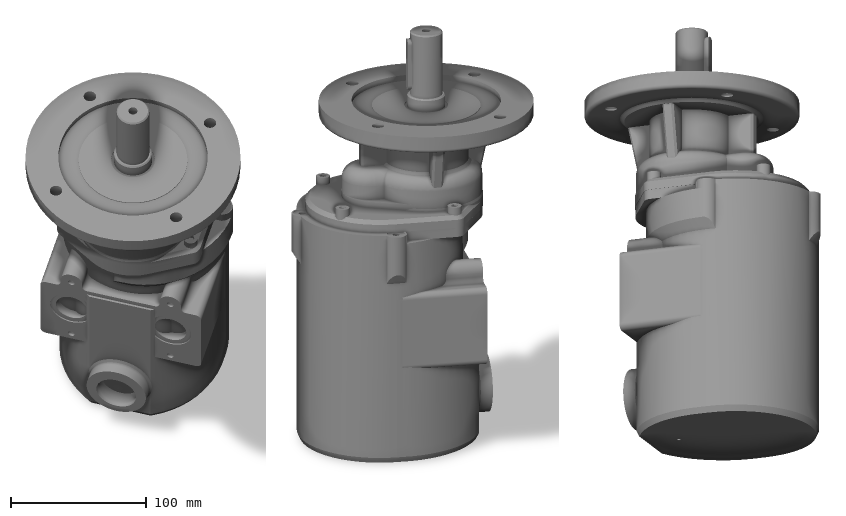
import cadquery as cq
import math


total_height = 315.0

shaft_radius = 12.0
collar_radius = 14.02
collar_top = 266.0
shaft_chamfer = 1.0
center_hole_diameter = 6.5
center_hole_depth = 12.5
key_width = 8.0
key_bottom = 270.0
key_top = 309.5
key_reach = 14.5

flange_radius = 79.0
flange_bottom = 248.0
flange_top = 260.5
flange_fillet = 2.5
bolt_circle_radius = 65.0
flange_hole_diameter = 9.0
recess_radius = 54.97
recess_depth = 4.5
recess_disc_radius = 40.0
recess_disc_height = 0.5
seal_groove_radius = 16.0

hub_radius = 41.3
hub_top = 213.5
hub_round = 9.8
neck_radius = 31.2
rib_width = 8.8
rib_reach = 49.8
rib_foot = 204.0
rib_foot_reach = 40.3
rib_chamfer = 1.5
rib_pad_height = 2.2
rib_pad_flare = 3.0
lobe_y = 42.5
lobe_radius = 20.5
web_y = 36.0
web_radius = 27.0
web_height = 4.7
foot_ring_height = 2.0
neck_flare = 2.5
neck_foot_sink = 0.5

cover_top = 188.5
cover_chamfer = 2.8
joint_z = 179.2
plate_bottom = 172.0
cover_margin = 0.5
cover_front_radius = hub_radius + cover_margin
plate_inset = 0.3
cover_back_radius = 54.8
corner_radius = 7.5
corner_y = -11.3
screw_radius = 5.0
screw_height = 5.7
screw_socket_width = 5.7
screw_socket_depth = 2.8
back_screw_x = 34.5
back_screw_y = 70.2

motor_y = 35.0
body_radius = 61.0
front_arc_y = 31.0
front_arc_radius = 69.3
lower_body_top = 128.5
base_z = 0.5
foot_height = 4.5
foot_taper = 25.0
pip_radius = 1.3
pip_x = 5.0
pip_y = -8.2
band_radius = 66.0
band_bottom = 149.5
band_cone_height = 8.2
lug_radius = 8.0
lug_hole_diameter = 5.0
lug_hole_depth = 9.5
lug_spotface_radius = 6.5
lug_spotface_depth = 0.47

panel_half_width = 25.0
panel_front = -34.5
panel_chamfer_width = 1.5
panel_chamfer_depth = 1.0
pipe_z = 37.0
pipe_radius = 22.7
pipe_base_radius = 24.3
pipe_base_height = 1.5
pipe_front = -45.5
pipe_bore_diameter = 30.2
pipe_bore_depth = 12.5
pipe_bore_z = 35.3

block_half_width = 61.5
block_front = -33.0
block_bottom = 72.0
block_top = 132.3
block_round = 4.5
port_x = 37.8
port_z = 107.7
port_diameter = 24.0
port_mouth_diameter = 32.0
port_mouth_depth = 1.0
port_inner_x = 25.8
port_floor_y = -25.5
port_housing_y = 23.3
port_screw_diameter = 5.0
port_screw_depth = 23.5
port_screw_heights = (77.8, 138.3)
ear_radius = 8.2
ear_z = 139.2
ear_fillet = 3.8


def cylinder(radius, bottom, top, x=0.0, y=0.0):
    return cq.Workplane("XY", origin=(x, y, bottom)).circle(radius).extrude(top - bottom)


def cone(bottom_radius, top_radius, bottom, top, y=0.0):
    base = cq.Workplane("XY", origin=(0, y, bottom)).circle(bottom_radius)
    return base.workplane(offset=top - bottom).circle(top_radius).loft()


def front_cylinder(radius, front, back, x, z):
    """Cylinder along Y between the planes y = front and y = back."""
    return cq.Workplane("XZ", origin=(x, back, z)).circle(radius).extrude(back - front)


def box(x_min, x_max, y_min, y_max, z_min, z_max):
    base = cq.Workplane("XY", origin=(x_min, y_min, z_min))
    return base.box(x_max - x_min, y_max - y_min, z_max - z_min, centered=False)


def polar(center_x, center_y, radius, angle):
    return (center_x + radius * math.cos(angle), center_y + radius * math.sin(angle))


def hull_outline(circles, z):
    """Outline wrapped tightly around circles (x, y, radius) listed counterclockwise."""
    count = len(circles)
    normals = []
    for i in range(count):
        x1, y1, r1 = circles[i]
        x2, y2, r2 = circles[(i + 1) % count]
        heading = math.atan2(y2 - y1, x2 - x1)
        normals.append(heading - math.acos((r1 - r2) / math.hypot(x2 - x1, y2 - y1)))
    outline = cq.Workplane("XY", origin=(0, 0, z)).moveTo(*polar(*circles[0], normals[-1]))
    for i in range(count):
        start = normals[i - 1]
        sweep = (normals[i] - start) % (2 * math.pi)
        outline = outline.threePointArc(
            polar(*circles[i], start + sweep / 2), polar(*circles[i], start + sweep)
        )
        next_circle = circles[(i + 1) % count]
        outline = outline.lineTo(*polar(*next_circle, normals[i]))
    return outline.close()


def make_shaft():
    shaft = cylinder(shaft_radius, flange_bottom, total_height).faces(">Z").chamfer(shaft_chamfer)
    collar = cylinder(collar_radius, flange_bottom, collar_top).faces(">Z").chamfer(shaft_chamfer)
    key = (
        cq.Workplane("XZ", origin=(0, key_reach, (key_bottom + key_top) / 2))
        .slot2D(key_top - key_bottom, key_width, 90)
        .extrude(key_reach)
    )
    center_hole = cylinder(center_hole_diameter / 2, total_height - center_hole_depth, total_height)
    return shaft.union(collar).union(key).cut(center_hole)


def make_flange():
    flange = cylinder(flange_radius, flange_bottom, flange_top).faces("<Z").edges().fillet(flange_fillet)
    recess_floor = flange_top - recess_depth
    disc_top = recess_floor + recess_disc_height
    flange = flange.cut(cylinder(recess_radius, recess_floor, flange_top))
    flange = flange.union(cylinder(recess_disc_radius, recess_floor, disc_top))
    flange = flange.cut(cylinder(seal_groove_radius, recess_floor, disc_top))
    hole_offset = bolt_circle_radius / math.sqrt(2)
    holes = (
        cq.Workplane("XY", origin=(0, 0, flange_bottom))
        .rect(2 * hole_offset, 2 * hole_offset, forConstruction=True)
        .vertices()
        .circle(flange_hole_diameter / 2)
        .extrude(flange_top - flange_bottom)
    )
    return flange.cut(holes)


def make_rib(outline, angle):
    """Radial rib drawn in the XZ plane and turned about the shaft axis."""
    rib = cq.Workplane("XZ").polyline(outline).close().extrude(rib_width / 2, both=True)
    rib = rib.faces(">X").edges("not |Y").chamfer(rib_chamfer)
    return rib.rotate((0, 0, 0), (0, 0, 1), angle)


def make_hub():
    hub = cylinder(hub_radius, joint_z, hub_top).faces(">Z").edges().fillet(hub_round)
    lobe = hull_outline([(0, lobe_y, lobe_radius), (0, 0, lobe_radius)], joint_z)
    lobe = lobe.extrude(hub_top - joint_z).faces(">Z").edges().fillet(hub_round)
    web = hull_outline([(0, web_y, web_radius), (0, 0, hub_radius)], joint_z)
    web = web.extrude(cover_top + web_height - joint_z)
    hub = hub.union(lobe).union(web).union(cylinder(neck_radius, joint_z, flange_bottom))

    foot_top = cover_top + foot_ring_height
    hub = hub.union(cylinder(cover_front_radius, joint_z, cover_top))
    hub = hub.union(cone(cover_front_radius, hub_radius, cover_top, foot_top))

    neck_foot_bottom = hub_top - neck_foot_sink
    neck_foot_top = neck_foot_bottom + neck_flare
    hub = hub.union(cone(neck_radius + neck_flare, neck_radius, neck_foot_bottom, neck_foot_top))

    pad_bottom = flange_bottom - rib_pad_height
    hub = hub.union(cone(rib_reach, rib_reach + rib_pad_flare, pad_bottom, flange_bottom))

    sloped = [(0, rib_foot), (rib_foot_reach, rib_foot), (rib_reach, flange_bottom), (0, flange_bottom)]
    upright = [(0, rib_foot), (rib_reach, rib_foot), (rib_reach, flange_bottom), (0, flange_bottom)]
    for outline, angle in ((sloped, 0), (upright, 90), (sloped, 180), (sloped, 270)):
        hub = hub.union(make_rib(outline, angle))
    return hub


corner_x = cover_back_radius - corner_radius


def cover_outline(z, inset=0.0):
    """Cover shape: wide back arc, two screw corners and an arc around the hub."""
    return hull_outline([
        (0, 0, cover_front_radius - inset),
        (corner_x, corner_y, corner_radius - inset),
        (0, motor_y, cover_back_radius - inset),
        (-corner_x, corner_y, corner_radius - inset),
    ], z)


def make_cover():
    cover = cover_outline(joint_z).extrude(cover_top - joint_z)
    return cover.faces(">Z").chamfer(cover_chamfer)


def make_cover_screws():
    head_top = cover_top + screw_height
    places = []
    for side in (-1, 1):
        places += [(side * corner_x, corner_y), (side * back_screw_x, back_screw_y)]
    heads_bottom = cover_top - cover_chamfer
    heads = cq.Workplane("XY", origin=(0, 0, heads_bottom)).pushPoints(places)
    heads = heads.circle(screw_radius).extrude(head_top - heads_bottom)
    sockets = cq.Workplane("XY", origin=(0, 0, head_top)).pushPoints(places)
    sockets = sockets.polygon(6, screw_socket_width).extrude(-screw_socket_depth)
    return heads.cut(sockets)


lug_offset = band_radius - lug_radius
band_foot = band_bottom - band_cone_height


def make_rim():
    """Bolting lugs and the quarter band between two of them, coned off underneath."""
    envelope = cylinder(band_radius + lug_radius, band_bottom, joint_z, 0, motor_y)
    envelope = envelope.union(cone(body_radius, band_radius, band_foot, band_bottom, motor_y))

    band = cylinder(band_radius, band_foot, plate_bottom, 0, motor_y)
    band = band.intersect(box(0, band_radius, motor_y - band_radius, motor_y, band_foot, plate_bottom))
    rim = band
    for angle in (0, 90, 180, 270):
        x, y = polar(0, motor_y, lug_offset, math.radians(angle))
        rim = rim.union(cylinder(lug_radius, band_foot, joint_z, x, y))
    return rim.intersect(envelope)


def lug_cuts():
    """Screw hole and shallow spotface in each lug that is not under the cover."""
    cuts = None
    for angle in (0, 90, 180):
        x, y = polar(0, motor_y, lug_offset, math.radians(angle))
        hole = cylinder(lug_hole_diameter / 2, joint_z - lug_hole_depth, joint_z, x, y)
        spotface = cylinder(lug_spotface_radius, joint_z - lug_spotface_depth, joint_z, x, y)
        hole = hole.union(spotface)
        cuts = hole if cuts is None else cuts.union(hole)
    return cuts


def lower_body_outline(z):
    """Round back, straight sides and arcs running to a flat, chamfered front panel."""
    panel_edge = panel_front + panel_chamfer_depth
    face_half_width = panel_half_width - panel_chamfer_width
    return (
        cq.Workplane("XY", origin=(0, 0, z))
        .moveTo(body_radius, motor_y)
        .threePointArc((0, motor_y + body_radius), (-body_radius, motor_y))
        .lineTo(-body_radius, front_arc_y)
        .radiusArc((-panel_half_width, panel_edge), -front_arc_radius)
        .lineTo(-face_half_width, panel_front)
        .lineTo(face_half_width, panel_front)
        .lineTo(panel_half_width, panel_edge)
        .radiusArc((body_radius, front_arc_y), -front_arc_radius)
        .close()
    )


def make_body():
    upper = cylinder(body_radius, base_z + foot_height, joint_z, 0, motor_y)
    front_step = box(
        -body_radius, body_radius, motor_y - body_radius, motor_y - lug_radius, plate_bottom, joint_z
    )
    joint_plate = cover_outline(plate_bottom, plate_inset).extrude(joint_z - plate_bottom)
    upper = upper.cut(front_step).union(joint_plate).union(make_rim()).cut(lug_cuts())

    foot_top = base_z + foot_height
    lower = lower_body_outline(foot_top).extrude(lower_body_top - foot_top)
    foot = lower_body_outline(foot_top).extrude(-foot_height, taper=foot_taper)
    pip = cylinder(pip_radius, 0, foot_top, pip_x, pip_y)
    return upper.union(lower).union(foot).union(pip)


def make_pipe_boss():
    pipe = front_cylinder(pipe_radius, pipe_front, 0, 0, pipe_z)
    pipe_base = (
        cq.Workplane("XZ", origin=(0, panel_front, pipe_z))
        .circle(pipe_base_radius)
        .workplane(offset=pipe_base_height)
        .circle(pipe_radius)
        .loft()
    )
    return pipe.union(pipe_base)


def pipe_bore():
    return front_cylinder(pipe_bore_diameter / 2, pipe_front, pipe_front + pipe_bore_depth, 0, pipe_bore_z)


def make_port_block():
    block = box(-block_half_width, block_half_width, block_front, front_arc_y, block_bottom, block_top)
    block = block.edges("|Y").fillet(block_round)
    for side in (-1, 1):
        ear = front_cylinder(ear_radius, block_front, front_arc_y, side * port_x, ear_z)
        neck = box(
            side * port_x - ear_radius, side * port_x + ear_radius,
            block_front, front_arc_y, port_z, ear_z,
        )
        block = block.union(ear.union(neck))
    root_margin = 0.3
    root_reach = port_x + ear_radius + root_margin
    ear_roots = cq.selectors.BoxSelector(
        (-root_reach, block_front - root_margin, block_top - root_margin),
        (root_reach, front_arc_y + root_margin, block_top + root_margin),
    )
    block = block.edges(ear_roots).edges("|Y").fillet(ear_fillet)

    for side in (-1, 1):
        for z in port_screw_heights:
            screw_hole = front_cylinder(
                port_screw_diameter / 2, block_front, block_front + port_screw_depth, side * port_x, z
            )
            block = block.cut(screw_hole)
    return block


def port_cut(side):
    """Port bore with a shallow counterbore; its floor wraps around the round motor housing."""
    bore = front_cylinder(port_diameter / 2, block_front, port_floor_y, side * port_x, port_z)
    mouth_floor_y = block_front + port_mouth_depth
    mouth = front_cylinder(port_mouth_diameter / 2, block_front, mouth_floor_y, side * port_x, port_z)
    housing = cylinder(body_radius, block_bottom, block_top, 0, port_housing_y)
    inner_edge, outer_edge = sorted((side * port_inner_x, side * block_half_width))
    beside_panel = box(inner_edge, outer_edge, block_front, motor_y, block_bottom, block_top)
    return bore.cut(housing).union(mouth).intersect(beside_panel)


result = make_port_block().union(make_body()).union(make_pipe_boss()).cut(pipe_bore())
result = result.cut(port_cut(-1)).cut(port_cut(1))
result = result.union(make_cover()).union(make_hub()).union(make_cover_screws())
result = result.union(make_flange()).union(make_shaft())